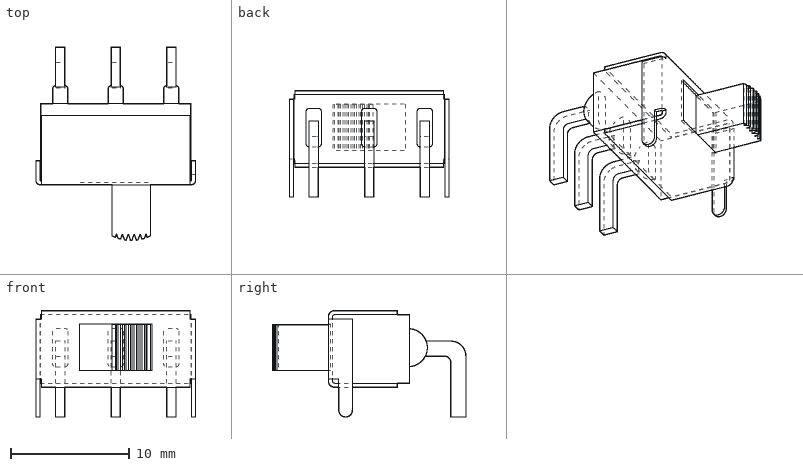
import cadquery as cq


TOTAL_DEPTH = 16.37
TOTAL_HEIGHT = 9.01

SHEET = 0.35
FRAME_LENGTH = 12.6
FRAME_HEIGHT = 6.5
FRAME_DEPTH = 5.85
FRAME_BEND = 0.55

BODY_LENGTH = 12.7
BODY_HEIGHT = FRAME_HEIGHT - 2 * SHEET
BODY_BACK = 6.87

WINDOW_HALF_LENGTH = 3.05
WINDOW_TOP = 2.12
WINDOW_BOTTOM = -1.83
WINDOW_DEPTH = 0.2

SLIDER_WIDTH = 3.28
SLIDER_RIGHT = 2.95
SLIDER_CENTRE = SLIDER_RIGHT - SLIDER_WIDTH / 2
SLIDER_TOP = 2.07
SLIDER_BOTTOM = WINDOW_BOTTOM
SLIDER_REACH = 4.72
CROWN_HEIGHT = 0.4
NOTCH_COUNT = 6
NOTCH_PITCH = 0.5
NOTCH_DEPTH = 0.53
NOTCH_HALF_WIDTH = 0.19

EAR_SPAN = 13.51
EAR_HEIGHT = 5.06
EAR_BACK = 2.05
LEG_FRONT = 0.88
LEG_BOTTOM = FRAME_HEIGHT / 2 - TOTAL_HEIGHT
LEG_ROUNDING_SHARE = 0.499

PIN_PITCH = 4.7
PIN_POSITIONS = (-PIN_PITCH, 0, PIN_PITCH)
PIN_WIDTH = 0.8
PIN_THICKNESS = 1.3
PIN_TOP = 0.68
PIN_BACK = TOTAL_DEPTH - SLIDER_REACH
PIN_OUTER_BEND = PIN_THICKNESS
PIN_INNER_BEND = 0.5

BOSS_RADIUS = 1.62
BOSS_WIDTH = 1.29
BOSS_ROUNDING = 0.24
BOSS_Y = 6.76
BOSS_Z = 0.11


def block(x_range, y_range, z_range):
    """Box spanning the given (low, high) ranges."""
    lows, highs = zip(x_range, y_range, z_range)
    sizes = [high - low for low, high in zip(lows, highs)]
    return cq.Workplane("XY").box(*sizes, centered=False).translate(lows)


def centred(size):
    """Range of the given size about zero."""
    return (-size / 2, size / 2)


def make_body():
    body = block(centred(BODY_LENGTH), (SHEET, BODY_BACK), centred(BODY_HEIGHT))
    return body.edges("|X and <Y").fillet(FRAME_BEND - SHEET)


def make_frame():
    """Folded sheet envelope, filled inside because the housing fits it closely."""
    frame = block(centred(FRAME_LENGTH), (0, FRAME_DEPTH), centred(FRAME_HEIGHT))
    return frame.edges("|X and <Y").fillet(FRAME_BEND)


def make_window():
    return block(
        (-WINDOW_HALF_LENGTH, WINDOW_HALF_LENGTH), (0, WINDOW_DEPTH), (WINDOW_BOTTOM, WINDOW_TOP)
    )


def make_ear():
    """Ear on the -X side: front strip, bent side strip and round-ended leg."""
    outer = -EAR_SPAN / 2
    inner = outer + SHEET
    strip = block((outer, -FRAME_LENGTH / 2), (0, SHEET), centred(EAR_HEIGHT))
    side = block((outer, inner), (0, EAR_BACK), centred(EAR_HEIGHT))
    ear = strip.union(side).edges("|Z and <X and <Y").fillet(SHEET)
    leg = block((outer, inner), (LEG_FRONT, EAR_BACK), (LEG_BOTTOM, 0))
    end_radius = LEG_ROUNDING_SHARE * (EAR_BACK - LEG_FRONT)
    leg = leg.edges("|X and <Z").fillet(end_radius)
    return ear.union(leg)


def make_slider():
    half = SLIDER_WIDTH / 2
    shoulder = -SLIDER_REACH + CROWN_HEIGHT
    height = SLIDER_TOP - SLIDER_BOTTOM
    plane = cq.Workplane("XY", origin=(SLIDER_CENTRE, 0, SLIDER_BOTTOM))
    slider = (
        plane.moveTo(-half, SHEET)
        .lineTo(-half, shoulder)
        .threePointArc((0, -SLIDER_REACH), (half, shoulder))
        .lineTo(half, SHEET)
        .close()
        .extrude(height)
    )
    root = -SLIDER_REACH + NOTCH_DEPTH
    for index in range(NOTCH_COUNT):
        x = (index - (NOTCH_COUNT - 1) / 2) * NOTCH_PITCH
        notch = plane.polyline(
            [
                (x, root),
                (x - NOTCH_HALF_WIDTH, -SLIDER_REACH),
                (x + NOTCH_HALF_WIDTH, -SLIDER_REACH),
            ]
        )
        slider = slider.cut(notch.close().extrude(height))
    return slider


def make_terminal(x):
    """Bent terminal and its root boss, centred on the given X."""
    bottom = PIN_TOP - PIN_THICKNESS
    front = PIN_BACK - PIN_THICKNESS
    profile = (
        cq.Workplane("YZ", origin=(x - PIN_WIDTH / 2, 0, 0))
        .moveTo(BOSS_Y, PIN_TOP)
        .lineTo(PIN_BACK - PIN_OUTER_BEND, PIN_TOP)
        .radiusArc((PIN_BACK, PIN_TOP - PIN_OUTER_BEND), PIN_OUTER_BEND)
        .lineTo(PIN_BACK, LEG_BOTTOM)
        .lineTo(front, LEG_BOTTOM)
        .lineTo(front, bottom - PIN_INNER_BEND)
        .radiusArc((front - PIN_INNER_BEND, bottom), -PIN_INNER_BEND)
        .lineTo(BOSS_Y, bottom)
        .close()
    )
    boss = (
        cq.Workplane("YZ", origin=(x - BOSS_WIDTH / 2, BOSS_Y, BOSS_Z))
        .circle(BOSS_RADIUS)
        .extrude(BOSS_WIDTH)
        .edges()
        .fillet(BOSS_ROUNDING)
    )
    return profile.extrude(PIN_WIDTH).union(boss)


housing = make_frame().union(make_body()).cut(make_window())
ear = make_ear()
result = housing.union(ear).union(ear.mirror("YZ")).union(make_slider())
for position in PIN_POSITIONS:
    result = result.union(make_terminal(position))